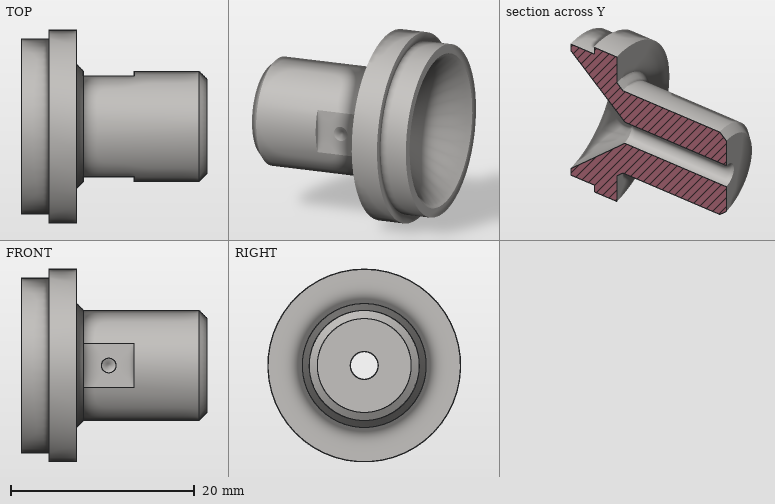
import cadquery as cq

total_length = 20.22
flange_diameter = 21.0
flange_thickness = 3.0
lip_diameter = 19.05
lip_length = 3.0
shank_diameter = 12.0
collar_chamfer = 0.75
end_chamfer = 0.88

mouth_diameter = 17.0
bore_diameter = 3.0
funnel_depth = (mouth_diameter - bore_diameter) / 2

flat_length = 5.5
flat_offset = 5.5
dimple_diameter = 1.6
dimple_depth = 0.46

flange_end = lip_length + flange_thickness
shank_start = flange_end + collar_chamfer
shank_radius = shank_diameter / 2


def make_turned_body():
    """Revolve the stepped, hollow half profile about X."""
    lip_radius = lip_diameter / 2
    flange_radius = flange_diameter / 2
    bore_radius = bore_diameter / 2
    profile = [
        (0, mouth_diameter / 2),
        (0, lip_radius),
        (lip_length, lip_radius),
        (lip_length, flange_radius),
        (flange_end, flange_radius),
        (flange_end, shank_radius + collar_chamfer),
        (shank_start, shank_radius),
        (total_length - end_chamfer, shank_radius),
        (total_length, shank_radius - end_chamfer),
        (total_length, bore_radius),
        (funnel_depth, bore_radius),
    ]
    return cq.Workplane("XZ").polyline(profile).close().revolve(360, (0, 0, 0), (1, 0, 0))


def make_flat_cutter(side):
    """Block that removes the shank beyond the flat on the given Y side."""
    block_thickness = shank_radius
    return cq.Workplane("XY").box(flat_length, block_thickness, shank_diameter).translate(
        (shank_start + flat_length / 2, side * (flat_offset + block_thickness / 2), 0)
    )


def make_dimple_cutter(side):
    """Cone sunk into the middle of the flat on the given Y side."""
    base = cq.Vector(shank_start + flat_length / 2, side * flat_offset, 0)
    inward = cq.Vector(0, -side, 0)
    return cq.Workplane(cq.Solid.makeCone(dimple_diameter / 2, 0, dimple_depth, base, inward))


result = make_turned_body()
for side in (-1, 1):
    result = result.cut(make_flat_cutter(side)).cut(make_dimple_cutter(side))